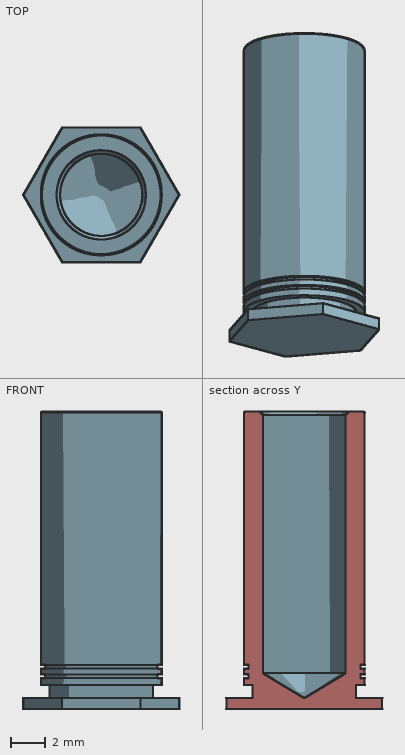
import cadquery as cq
import math

total_height = 17.46
head_across_flats = 7.93
head_height = 0.66
head_across_corners = head_across_flats / math.cos(math.radians(30))

barrel_diameter = 7.1
barrel_bottom = 1.41
barrel_edge_chamfer = 0.07
neck_diameter = 6.1

groove_diameter = 6.6
groove_width = 0.23
groove_bottoms = (1.82, 2.37)

bore_diameter = 4.82
bore_mouth_diameter = 5.24
drill_point_angle = 118.0
drill_tip_height = head_height


def make_cylinder(diameter, bottom, top):
    return cq.Workplane("XY").workplane(offset=bottom).circle(diameter / 2).extrude(top - bottom)


def make_head():
    return cq.Workplane("XY").polygon(6, head_across_corners).extrude(head_height)


def make_barrel():
    barrel = make_cylinder(barrel_diameter, barrel_bottom, total_height)
    barrel = barrel.faces(">Z").edges().chamfer(barrel_edge_chamfer)
    for bottom in groove_bottoms:
        top = bottom + groove_width
        outer = make_cylinder(barrel_diameter, bottom, top)
        core = make_cylinder(groove_diameter, bottom, top)
        barrel = barrel.cut(outer.cut(core))
    return barrel


def make_bore():
    bore_radius = bore_diameter / 2
    mouth_radius = bore_mouth_diameter / 2
    mouth_depth = mouth_radius - bore_radius
    point_height = bore_radius / math.tan(math.radians(drill_point_angle / 2))
    half_profile = [
        (0, drill_tip_height),
        (bore_radius, drill_tip_height + point_height),
        (bore_radius, total_height - mouth_depth),
        (mouth_radius, total_height),
        (0, total_height),
    ]
    return cq.Workplane("XZ").polyline(half_profile).close().revolve(360, (0, 0, 0), (0, 1, 0))


neck = make_cylinder(neck_diameter, head_height, barrel_bottom)
result = make_head().union(neck).union(make_barrel()).cut(make_bore())